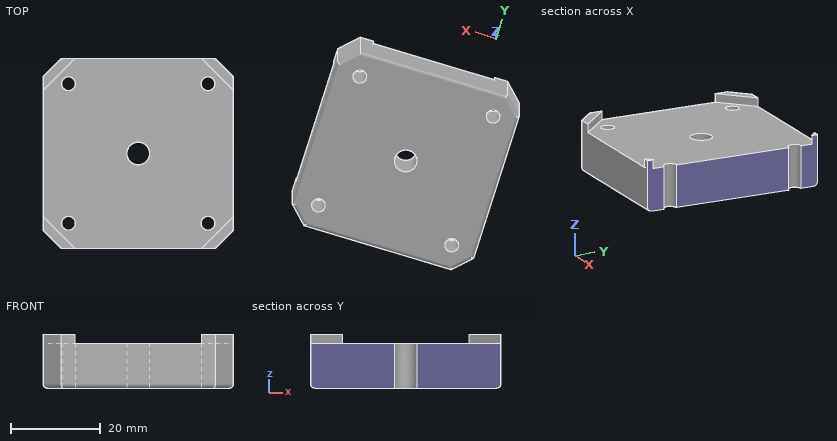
import cadquery as cq

side = 42.3
total_height = 12.0
corner_cut = 4.0
bottom_round = 1.0

tab_height = 2.0
tab_leg = 7.1

screw_spacing = 31.0
screw_diameter = 3.0
center_diameter = 5.0

floor_height = total_height - tab_height


def cut_corner_square(leg):
    """Square outline whose four corners are cut at 45 degrees by the given leg."""
    half = side / 2
    inner = half - leg
    return cq.Workplane("XY").polyline([
        (half, -inner), (half, inner), (inner, half), (-inner, half),
        (-half, inner), (-half, -inner), (-inner, -half), (inner, -half),
    ]).close()


body = cut_corner_square(corner_cut).extrude(total_height)
body = body.faces("<Z").edges().fillet(bottom_round)

recess = cut_corner_square(tab_leg).extrude(tab_height).translate((0, 0, floor_height))
body = body.cut(recess)

center_hole = cq.Workplane("XY").circle(center_diameter / 2).extrude(total_height)
screw_holes = (
    cq.Workplane("XY")
    .rarray(screw_spacing, screw_spacing, 2, 2)
    .circle(screw_diameter / 2)
    .extrude(total_height)
)

result = body.cut(center_hole).cut(screw_holes)